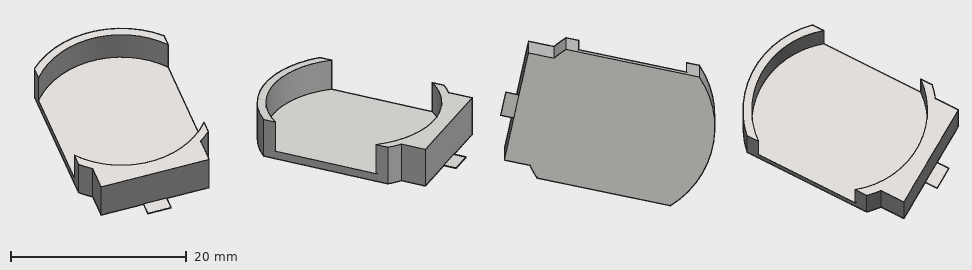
import cadquery as cq

overall_length = 24.4
tray_width = 15.6
height = 4.8
outer_radius = 11.0
wall = 1.0
floor = 1.0
block_start = 7.98
block_end = 11.85
block_width = 13.0
tab_width = 2.8
tab_thickness = 0.1

inner_radius = outer_radius - wall
tab_end = overall_length - outer_radius


def tray_blank():
    """Solid disc with two flat sides, before the cavity is cut."""
    disc = cq.Workplane("XY").circle(outer_radius).extrude(height)
    flats = cq.Workplane("XY").rect(2 * outer_radius, tray_width).extrude(height)
    return disc.intersect(flats)


def plate(x_start, x_end, width, thickness):
    """Box centred on the X axis and standing on the underside plane."""
    return cq.Workplane("XY").box(
        x_end - x_start, width, thickness, centered=(False, True, False)
    ).translate((x_start, 0, 0))


block = plate(block_start, block_end, block_width, height)
tab = plate(block_end, tab_end, tab_width, tab_thickness)
cavity = cq.Workplane("XY").workplane(offset=floor).circle(inner_radius).extrude(height - floor)

result = tray_blank().union(block).union(tab).cut(cavity)